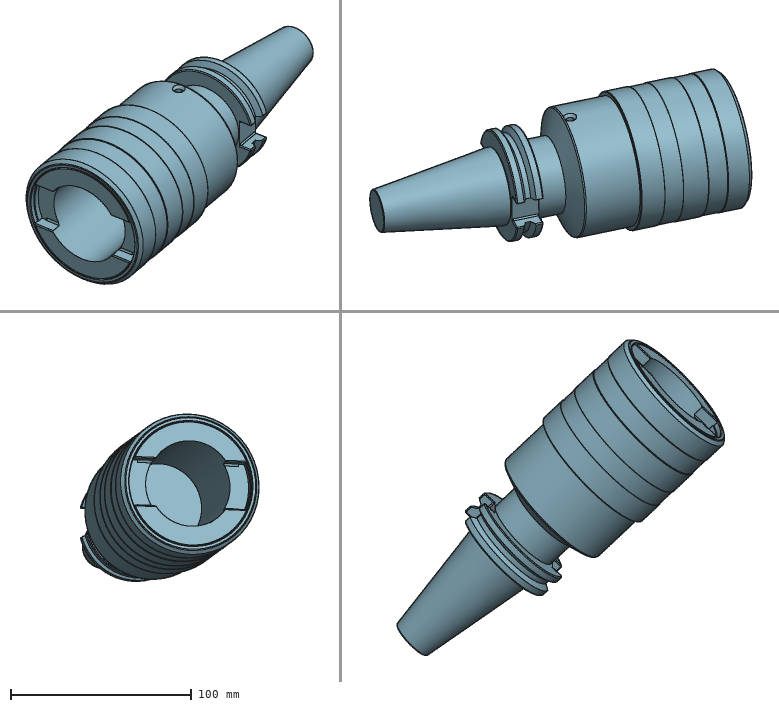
import cadquery as cq
import math

length = 207.3

taper_length = 68.5
gauge_radius = 22.2
taper_rate = 7 / 24
taper_end_chamfer = 0.5
gauge_y = length - taper_length
taper_end_radius = gauge_radius - taper_length * taper_rate / 2
gauge_band = 2.5
relief_depth = 0.8

flange_radius = 31.7
flange_back = 135.8
flange_width = 15.8
flange_front = flange_back - flange_width
flange_chamfer = 0.6
groove_radius = 28.2
groove_floor_width = 3.1
groove_center = 128.0
groove_flank_angle = 60.0
groove_half_floor = groove_floor_width / 2
groove_half_mouth = groove_half_floor + (flange_radius - groove_radius) / math.tan(
    math.radians(groove_flank_angle))
drive_slot_width = 16.2
drive_slot_floor = 22.5
drive_slot_bevel = 0.8
drive_slot_edge_chamfer = 0.6

neck_radius = gauge_radius
neck_front = 104.0
body_radius = 37.1
body_back = 98.0
body_edge_width = 0.5
body_edge_length = 0.8

outer_diameter = 79.0
ring_radius = outer_diameter / 2
band_radius = 39.2
front_ring_end = 15.0
middle_ring_start = 26.0
middle_ring_end = 40.8
back_ring_start = 51.8
sleeve_back = 65.7
nose_chamfer_length = 2.3
nose_chamfer_width = 2.5
nose_break_width = 0.6
nose_break_length = 0.31
ring_edge_chamfer = 0.5

seam_radius = 35.0
seam_depth = 0.6
seam_half_width = 0.5
bore_radius = 24.0
bore_depth = 74.6
key_slot_width = 26.5
key_slot_depth = 7.0
key_slot_edge_chamfer = 0.6
key_slot_wall_step = 0.5
key_slot_step_depth = 3.3
gusset_width = 1.35
gusset_height = 0.6
gusset_reach = 28.8

screw_y = 93.7
screw_radius = 2.0
screw_mouth_diameter = 7.3
screw_mouth_radius = screw_mouth_diameter / 2
countersink_depth = 1.9
screw_depth = 4.1


def revolve_profile(points):
    """Solid of revolution about Y from (radius, y) points."""
    return cq.Workplane("XY").polyline(points).close().revolve(360, (0, 0, 0), (0, 1, 0))


def make_body():
    """Turned outside shape, listed from the nose to the taper end."""
    return revolve_profile([
        (0, 0),
        (ring_radius - nose_chamfer_width, 0),
        (ring_radius - nose_chamfer_width + nose_break_width, nose_break_length),
        (ring_radius, nose_chamfer_length),
        (ring_radius, front_ring_end - ring_edge_chamfer),
        (band_radius, front_ring_end),
        (band_radius, middle_ring_start),
        (ring_radius, middle_ring_start + ring_edge_chamfer),
        (ring_radius, middle_ring_end),
        (band_radius, middle_ring_end),
        (band_radius, back_ring_start),
        (ring_radius, back_ring_start),
        (ring_radius, sleeve_back - ring_edge_chamfer),
        (ring_radius - ring_edge_chamfer, sleeve_back),
        (body_radius, sleeve_back),
        (body_radius, body_back - body_edge_length),
        (body_radius - body_edge_width, body_back),
        (neck_radius, neck_front),
        (neck_radius, flange_front),
        (flange_radius - flange_chamfer, flange_front),
        (flange_radius, flange_front + flange_chamfer),
        (flange_radius, groove_center - groove_half_mouth),
        (groove_radius, groove_center - groove_half_floor),
        (groove_radius, groove_center + groove_half_floor),
        (flange_radius, groove_center + groove_half_mouth),
        (flange_radius, flange_back - flange_chamfer),
        (flange_radius - flange_chamfer, flange_back),
        (gauge_radius - relief_depth, flange_back),
        (gauge_radius, gauge_y - gauge_band),
        (gauge_radius, gauge_y),
        (taper_end_radius, length - taper_end_chamfer),
        (taper_end_radius - taper_end_chamfer, length),
        (0, length),
    ])


def drive_slot():
    """Cutter for the drive slot on the +X side, flared at its ends and at the rim."""
    half = drive_slot_width / 2
    wide_half = half + drive_slot_edge_chamfer
    rim_x = math.sqrt(flange_radius ** 2 - wide_half ** 2)
    rim_flare_x = rim_x - drive_slot_edge_chamfer
    top_half = half + flange_radius - rim_flare_x
    slot = (
        cq.Workplane("XZ", origin=(0, flange_front, 0))
        .polyline([
            (drive_slot_floor, -half),
            (rim_flare_x, -half),
            (flange_radius, -top_half),
            (flange_radius, top_half),
            (rim_flare_x, half),
            (drive_slot_floor, half),
        ])
        .close()
        .extrude(-flange_width)
        .edges("<X and |Y")
        .chamfer(drive_slot_bevel)
    )
    end_flare = (
        cq.Workplane("YZ", origin=(drive_slot_floor, 0, 0))
        .polyline([
            (flange_front, -wide_half),
            (flange_front + drive_slot_edge_chamfer, -half),
            (flange_front + drive_slot_edge_chamfer, half),
            (flange_front, wide_half),
        ])
        .close()
        .extrude(flange_radius - drive_slot_floor)
    )
    middle = (0, (flange_front + flange_back) / 2, 0)
    return slot.union(end_flare).union(end_flare.mirror("XZ", middle))


def nose_seam():
    """Cutter for the V-shaped ring groove in the nose face."""
    return revolve_profile([
        (seam_radius - seam_half_width, 0),
        (seam_radius + seam_half_width, 0),
        (seam_radius, seam_depth),
    ])


def bore():
    """Cutter for the blind bore."""
    return cq.Workplane("XZ").circle(bore_radius).extrude(-bore_depth)


def key_slots():
    """Cutter for the key slots across the nose, closed by rounded end walls at the seam."""
    half = key_slot_width / 2
    outline = [
        (0, -half - key_slot_edge_chamfer),
        (0, half + key_slot_edge_chamfer),
        (key_slot_edge_chamfer, half),
        (key_slot_depth, half),
        (key_slot_depth, -half),
        (key_slot_edge_chamfer, -half),
    ]
    slot = cq.Workplane("YZ").polyline(outline).close().extrude(seam_radius, both=True)
    for side in (-1, 1):
        wedge = (
            cq.Workplane("YZ")
            .polyline([
                (key_slot_depth, side * half),
                (key_slot_depth - gusset_height, side * half),
                (key_slot_depth, side * (half - gusset_width)),
            ])
            .close()
            .extrude(gusset_reach, both=True)
        )
        slot = slot.cut(wedge)
    inner_wall_radius = seam_radius - key_slot_wall_step
    envelope = revolve_profile([
        (0, 0),
        (seam_radius, 0),
        (seam_radius, key_slot_step_depth),
        (inner_wall_radius, key_slot_step_depth + key_slot_wall_step),
        (inner_wall_radius, key_slot_depth),
        (0, key_slot_depth),
    ])
    return slot.intersect(envelope)


def screw_hole():
    """Countersunk blind hole entering the body from +Z."""
    points = [
        (0, body_radius),
        (screw_mouth_radius, body_radius),
        (screw_radius, body_radius - countersink_depth),
        (screw_radius, body_radius - screw_depth),
        (0, body_radius - screw_depth),
    ]
    hole = cq.Workplane("XZ").polyline(points).close().revolve(360, (0, 0, 0), (0, 1, 0))
    return hole.translate((0, screw_y, 0))


result = make_body()
for angle in (0, 180):
    result = result.cut(drive_slot().rotate((0, 0, 0), (0, 1, 0), angle))
result = result.cut(nose_seam()).cut(bore()).cut(key_slots()).cut(screw_hole())